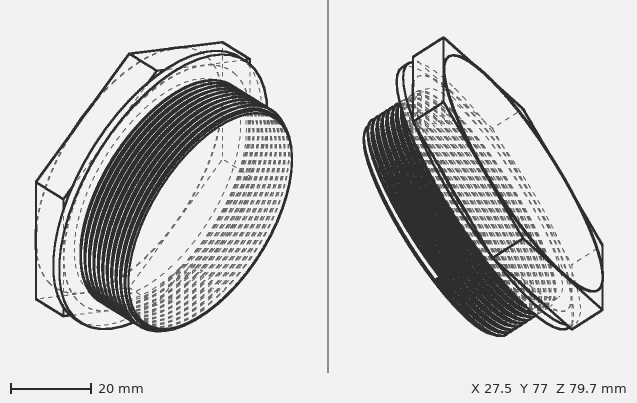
import cadquery as cq
import math


across_flats = 69.0
across_corners = across_flats / math.cos(math.pi / 6)
raised_face_diameter = across_flats
raised_face_height = 0.2
head_length = 9.7
hexagon_length = head_length - 2 * raised_face_height

washer_diameter = 77.0
washer_thickness = 2.0

core_diameter = 61.48
core_radius = core_diameter / 2
thread_length = 15.8
tip_chamfer = 0.5
washer_end_x = head_length + washer_thickness
shank_length = washer_thickness + thread_length

thread_diameter = 63.0
thread_radius = thread_diameter / 2
thread_pitch = 1.5
thread_turns = 10
thread_start_offset = -thread_pitch / 6
flank_angle = math.radians(30)
crest_width = thread_pitch / 8
root_overlap = 0.05


def x_cylinder(diameter, start_x, length):
    """Solid cylinder about the X axis."""
    return cq.Workplane("YZ", origin=(start_x, 0, 0)).circle(diameter / 2).extrude(length)


def make_washer():
    """Flat ring fitting around the shank."""
    ring = x_cylinder(washer_diameter, head_length, washer_thickness)
    return ring.cut(x_cylinder(core_diameter, head_length, washer_thickness))


def make_head():
    """Hexagon with two corners on the Z axis and a raised round face at each end."""
    hexagon = (
        cq.Workplane("YZ", origin=(raised_face_height, 0, 0))
        .transformed(rotate=(0, 0, 90))
        .polygon(6, across_corners)
        .extrude(hexagon_length)
    )
    outer_face = x_cylinder(raised_face_diameter, 0, raised_face_height)
    inner_face = x_cylinder(raised_face_diameter, head_length - raised_face_height, raised_face_height)
    return hexagon.union(outer_face).union(inner_face)


def make_thread():
    """Helical tooth, swept about Z and then laid along X so that it starts at -Z."""
    foot_radius = core_radius - root_overlap
    half_crest = crest_width / 2
    half_foot = half_crest + (thread_radius - foot_radius) * math.tan(flank_angle)
    helix = cq.Wire.makeHelix(thread_pitch, thread_pitch * thread_turns, core_radius)
    tooth = (
        cq.Workplane("XZ")
        .polyline([
            (foot_radius, -half_foot),
            (thread_radius, -half_crest),
            (thread_radius, half_crest),
            (foot_radius, half_foot),
        ])
        .close()
        .sweep(cq.Workplane(obj=helix), isFrenet=True)
    )
    along_x = tooth.rotate((0, 0, 0), (0, 1, 0), 90)
    return along_x.translate((washer_end_x + thread_start_offset, 0, 0))


def make_plug(washer):
    """Head, shank and thread in one piece; the first thread turn stops at the washer."""
    shank = x_cylinder(core_diameter, head_length, shank_length).faces(">X").chamfer(tip_chamfer)
    thread = make_thread().cut(washer)
    return make_head().union(shank).union(thread)


washer = make_washer()
plug = make_plug(washer)

result = cq.Compound.makeCompound([plug.solids().val(), washer.val()])